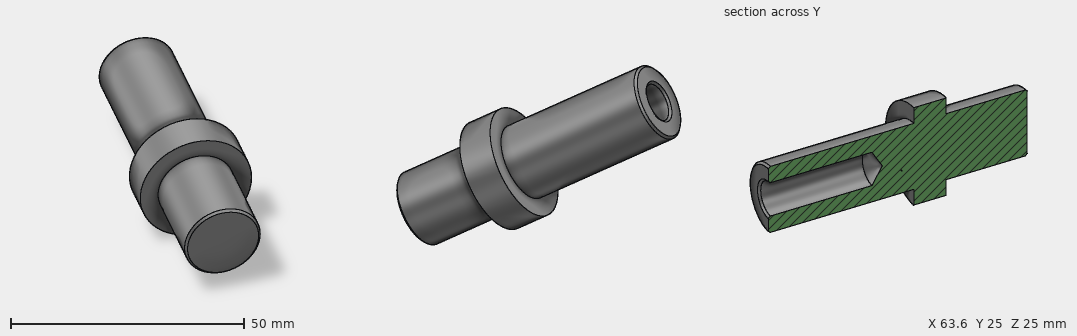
import cadquery as cq
import math

length = 63.6
shaft_diameter = 17.0
end_chamfer = 0.5

collar_diameter = 25.0
collar_start = 35.7
collar_width = 8.0

hole_diameter = 8.4
hole_depth = 25.45
drill_point_angle = 118.0
hole_chamfer = 0.5

left_end = -length / 2


def cylinder_along_x(diameter, start, width):
    """Solid cylinder on the X axis, beginning a distance start from the -X end."""
    return cq.Workplane("YZ", origin=(left_end + start, 0, 0)).circle(diameter / 2).extrude(width)


def drilled_hole():
    """Cutter with a chamfered mouth and a conical drill point."""
    radius = hole_diameter / 2
    point_depth = radius / math.tan(math.radians(drill_point_angle / 2))
    profile = [
        (left_end, 0),
        (left_end, radius + hole_chamfer),
        (left_end + hole_chamfer, radius),
        (left_end + hole_depth, radius),
        (left_end + hole_depth + point_depth, 0),
    ]
    return cq.Workplane("XY").polyline(profile).close().revolve(360, (0, 0, 0), (1, 0, 0))


shaft = cylinder_along_x(shaft_diameter, 0, length).faces("<X or >X").chamfer(end_chamfer)
collar = cylinder_along_x(collar_diameter, collar_start, collar_width)
result = shaft.union(collar).cut(drilled_hole())